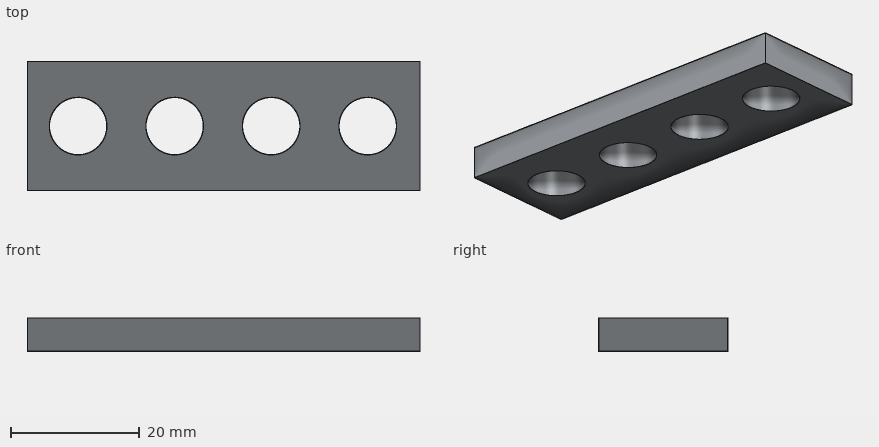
import cadquery as cq

length = 60.96
width = 20.07
thickness = 5.2

hole_diameter = 8.89
hole_count = 4
hole_pitch = 14.986
first_hole_offset = 7.874

first_hole_x = first_hole_offset - length / 2
hole_centers = [(first_hole_x + i * hole_pitch, 0) for i in range(hole_count)]

plate = cq.Workplane("XY").box(length, width, thickness)
result = plate.faces(">Z").workplane().pushPoints(hole_centers).hole(hole_diameter)